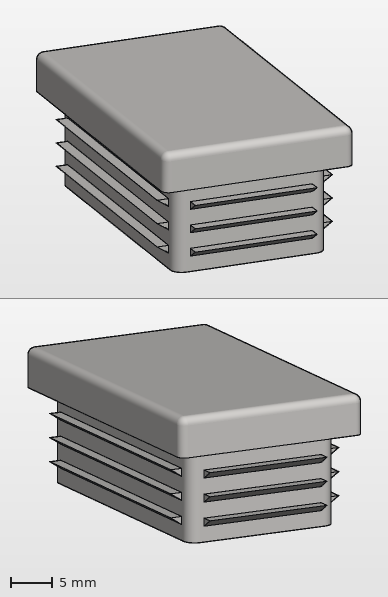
import cadquery as cq

cap_length = 40.0
cap_width = 25.0
cap_height = 5.0
cap_edge_radius = 1.0

plug_inset = 2.5
plug_length = cap_length - 2 * plug_inset
plug_width = cap_width - 2 * plug_inset
plug_height = 11.5
plug_corner_radius = 1.5

fin_count = 3
fin_pitch = 3.0
first_fin_drop = 2.5
fin_reach = 1.5
fin_thickness = 1.0
fin_end_gap = 2.0
fin_root_overlap = 0.5


def make_cap():
    """Cap with rounded vertical edges and a rounded top rim; its underside is at Z = 0."""
    block = cq.Workplane("XY").box(cap_length, cap_width, cap_height, centered=(True, True, False))
    return block.edges("|Z or >Z").fillet(cap_edge_radius)


def make_plug():
    """Plug hanging below the cap, with rounded vertical corners."""
    block = cq.Workplane("XY").rect(plug_length, plug_width).extrude(-plug_height)
    return block.edges("|Z").fillet(plug_corner_radius)


def make_fin(length, wall, top):
    """Fin on the +X side: flat on top, sloping underneath to a sharp tip, running along Y."""
    profile = [
        (wall - fin_root_overlap, top),
        (wall + fin_reach, top),
        (wall, top - fin_thickness),
        (wall - fin_root_overlap, top - fin_thickness),
    ]
    return cq.Workplane("XZ").polyline(profile).close().extrude(length / 2, both=True)


def add_fins(body):
    """Add every row of fins on all four sides of the plug."""
    sides = [
        (0, plug_width - 2 * fin_end_gap, plug_length / 2),
        (90, plug_length - 2 * fin_end_gap, plug_width / 2),
        (180, plug_width - 2 * fin_end_gap, plug_length / 2),
        (270, plug_length - 2 * fin_end_gap, plug_width / 2),
    ]
    for row in range(fin_count):
        top = -first_fin_drop - row * fin_pitch
        for angle, length, wall in sides:
            fin = make_fin(length, wall, top)
            body = body.union(fin.rotate((0, 0, 0), (0, 0, 1), angle))
    return body


result = add_fins(make_cap().union(make_plug()))